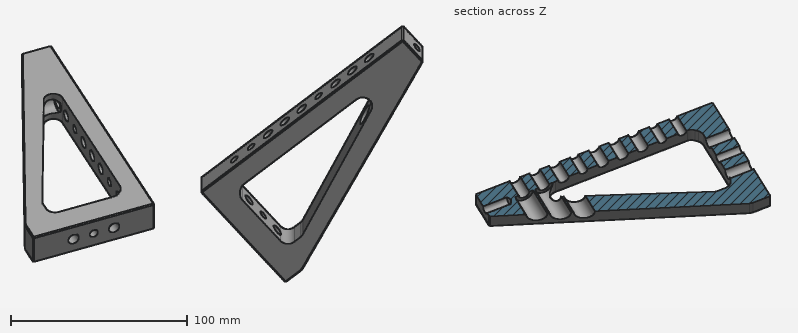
import cadquery as cq
import math

LENGTH = 150.0
WIDTH = 75.0
THICKNESS = 19.0
NARROW_END = 18.0
SLOPE_ANGLE = 22.5
EDGE_CHAMFER = 0.7
SLOPE_CORNER_CHAMFER = 1.0

BACK_RAIL = 12.0
SIDE_RAIL = 15.0
WINDOW_FRONT = 16.75
WINDOW_FRONT_RUN = 11.3
WINDOW_SLOPE = 23.7
WINDOW_CORNER_CUT = 4.7
WINDOW_RADIUS = 5.5

PITCH = 12.5
BOLT_DIAMETER = 6.5
HEAD_DIAMETER = 11.0
TAP_DIAMETER = 5.0
END_HOLE_DEPTH = 15.0
DRILL_POINT_ANGLE = 118.0

MID_Z = THICKNESS / 2
WINDOW_BACK = WIDTH - BACK_RAIL
WINDOW_RIGHT = LENGTH - SIDE_RAIL

HEAD_COLUMNS = [2, 3, 4]
BACK_BOLT_COLUMNS = [6, 7, 8]
BACK_TAP_COLUMNS = [5, 9, 10]
SIDE_BOLT_ROWS = [4, 2]
SIDE_TAP_ROWS = [3]
END_HOLE_ROW = 5


def make_body():
    end_y = WIDTH - NARROW_END
    slope_run = end_y / math.tan(math.radians(SLOPE_ANGLE))
    outline = [
        (0, end_y),
        (slope_run, 0),
        (LENGTH, 0),
        (LENGTH, WIDTH),
        (0, WIDTH),
    ]
    body = cq.Workplane("XY").polyline(outline).close().extrude(THICKNESS)
    slope_corner = cq.selectors.NearestToPointSelector((slope_run, 0, MID_Z))
    body = body.edges(slope_corner).chamfer(SLOPE_CORNER_CHAMFER)
    return body.faces("<X or >X or <Z or >Z").edges().chamfer(EDGE_CHAMFER)


def make_window():
    front_left = WINDOW_RIGHT - WINDOW_FRONT_RUN
    slope_run = (WINDOW_BACK - WINDOW_FRONT) / math.tan(math.radians(WINDOW_SLOPE))
    outline = [
        (front_left - slope_run, WINDOW_BACK),
        (front_left, WINDOW_FRONT),
        (WINDOW_RIGHT, WINDOW_FRONT),
        (WINDOW_RIGHT, WINDOW_BACK - WINDOW_CORNER_CUT),
        (WINDOW_RIGHT - WINDOW_CORNER_CUT, WINDOW_BACK),
    ]
    window = cq.Workplane("XY").polyline(outline).close().extrude(THICKNESS)
    return window.edges("|Z").fillet(WINDOW_RADIUS)


def drill_along_y(column, diameter, start_y, end_y):
    start = cq.Vector(column * PITCH, start_y, MID_Z)
    return cq.Solid.makeCylinder(diameter / 2, end_y - start_y, start, cq.Vector(0, 1, 0))


def drill_through_side_rail(row, diameter):
    start = cq.Vector(WINDOW_RIGHT, row * PITCH, MID_Z)
    return cq.Solid.makeCylinder(diameter / 2, SIDE_RAIL, start, cq.Vector(1, 0, 0))


def make_end_hole():
    """Blind hole in the narrow end, with a conical drill point."""
    radius = TAP_DIAMETER / 2
    point_length = radius / math.tan(math.radians(DRILL_POINT_ANGLE / 2))
    profile = [
        (0, 0),
        (0, radius),
        (END_HOLE_DEPTH, radius),
        (END_HOLE_DEPTH + point_length, 0),
    ]
    hole = cq.Workplane("XY").polyline(profile).close().revolve(360, (0, 0, 0), (1, 0, 0))
    return hole.translate((0, END_HOLE_ROW * PITCH, MID_Z))


result = make_body().cut(make_window()).cut(make_end_hole())

for column in HEAD_COLUMNS:
    result = result.cut(drill_along_y(column, BOLT_DIAMETER, 0, WIDTH))
    result = result.cut(drill_along_y(column, HEAD_DIAMETER, 0, WINDOW_BACK))

for column in BACK_BOLT_COLUMNS:
    result = result.cut(drill_along_y(column, BOLT_DIAMETER, WINDOW_BACK, WIDTH))
for column in BACK_TAP_COLUMNS:
    result = result.cut(drill_along_y(column, TAP_DIAMETER, WINDOW_BACK, WIDTH))

for row in SIDE_BOLT_ROWS:
    result = result.cut(drill_through_side_rail(row, BOLT_DIAMETER))
for row in SIDE_TAP_ROWS:
    result = result.cut(drill_through_side_rail(row, TAP_DIAMETER))